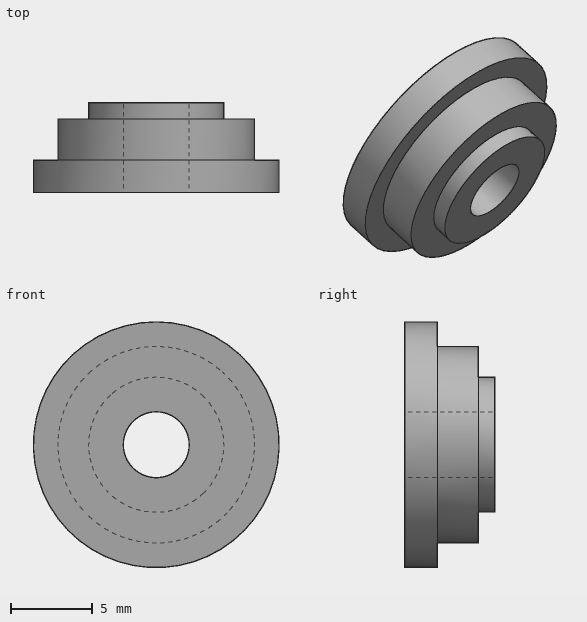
import cadquery as cq

flange_diameter = 15.0
body_diameter = 12.0
boss_diameter = 8.25
bore_diameter = 4.0

total_length = 5.5
flange_thickness = 2.0
boss_length = 1.0
body_length = total_length - flange_thickness - boss_length


def disc(diameter, start, length):
    """Cylinder along +Y whose front face is at Y = start."""
    axis = cq.Vector(0, 1, 0)
    return cq.Workplane(cq.Solid.makeCylinder(diameter / 2, length, cq.Vector(0, start, 0), axis))


flange = disc(flange_diameter, 0, flange_thickness)
body = disc(body_diameter, flange_thickness, body_length)
boss = disc(boss_diameter, flange_thickness + body_length, boss_length)

bore = disc(bore_diameter, 0, total_length)

result = flange.union(body).union(boss).cut(bore)